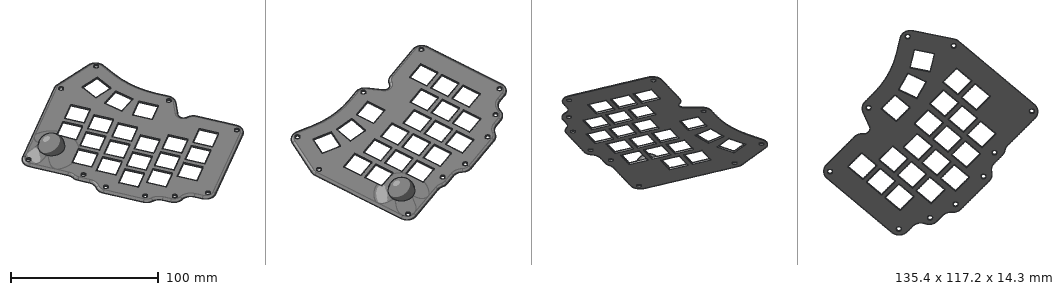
import cadquery as cq
import math

LENGTH = 135.4
DEPTH = 117.2
THICKNESS = 1.5
RIM_RADIUS = 2.0
CORNER_RADIUS = 7.3
DIP_RADIUS = 3.8
SHORTEST_STRAIGHT = 0.001
THUMB_ARC_RADIUS = 64.2
THUMB_TILT = math.radians(60)
RIM_WIDTH = math.sqrt(RIM_RADIUS**2 - (RIM_RADIUS - THICKNESS) ** 2)

FRONT_LEFT_Y = 8.7
FRONT_STEP_Y = 6.4
FRONT_RIGHT_STEP_Y = 5.8
FRONT_RIGHT_Y = 15.4
REAR_RIGHT_Y = 89.5
REAR_MIDDLE_Y = 101.8

FIRST_STEP_X = 34.7
SECOND_STEP_X = 50.5
THIRD_STEP_X = 91.1
FOURTH_STEP_X = 108.5

TILT_START_Y = 87.3
SHOULDER_X = 80.8
DIP_POINT = (90.3, 81.4)
DIP_END_X = 96.4

KEY_SIZE = 14.0
KEY_PITCH_Y = 17.0
FIRST_COLUMN_X = 22.9
LAST_COLUMN_X = 112.6
COLUMN_TOP_Y = [65.8, 61.3, 59.0, 52.7, 58.6, 70.7]
COLUMN_KEYS = [2, 3, 3, 3, 3, 3]
THUMB_KEYS = [(65.7, 83.1, 0), (45.8, 86.0, -15), (27.5, 93.7, -30)]

SCREW_DIAMETER = 3.4
SCREW_POINTS = [
    (5.0, 13.7), (5.0, 85.4), (21.0, 113.0), (77.8, 96.8), (130.4, 84.0),
    (130.4, 21.0), (109.9, 11.0), (90.8, 5.0), (62.8, 5.0), (44.8, 11.5),
]

DOME_X = 17.0
DOME_Y = 26.8
DOME_TOP = 14.3
DOME_RADIUS = 9.1
FOOT_RADIUS = 18.7


def step_corners(start_x, start_y, end_y):
    """Corners of an S-shaped step whose two equal arcs meet without a straight."""
    angle = math.acos(1 - abs(end_y - start_y) / (2 * CORNER_RADIUS))
    tangent = CORNER_RADIUS * math.tan(angle / 2)
    run = 2 * CORNER_RADIUS * math.sin(angle)
    return [
        (start_x + tangent, start_y, CORNER_RADIUS),
        (start_x + run - tangent, end_y, CORNER_RADIUS),
    ]


def rounded_outline(corners):
    """Closed outline through (x, y, radius) corners, each rounded by a tangent arc."""
    outline = None
    last = None
    count = len(corners)
    for i, (x, y, radius) in enumerate(corners):
        corner = cq.Vector(x, y)
        to_previous = (cq.Vector(*corners[i - 1][:2]) - corner).normalized()
        to_next = (cq.Vector(*corners[(i + 1) % count][:2]) - corner).normalized()
        half_angle = to_previous.getAngle(to_next) / 2
        tangent = radius / math.tan(half_angle)
        bisector = (to_previous + to_next).normalized()
        start = corner + to_previous * tangent
        middle = corner + bisector * (radius / math.sin(half_angle) - radius)
        end = corner + to_next * tangent
        if outline is None:
            outline = cq.Workplane("XY").moveTo(start.x, start.y)
        elif (start - last).Length > SHORTEST_STRAIGHT:
            outline = outline.lineTo(start.x, start.y)
        outline = outline.threePointArc((middle.x, middle.y), (end.x, end.y))
        last = end
    return outline.close()


def plate_corners():
    """Corners of the plate, counter-clockwise from the front left."""
    rise = CORNER_RADIUS * (math.sin(THUMB_TILT + math.pi / 4) * math.sqrt(2) - 1)
    rear_left_y = DEPTH + rise
    rear_left_x = (rear_left_y - TILT_START_Y) / math.tan(THUMB_TILT)
    thumb_arc_x = rear_left_x + (rear_left_y - REAR_MIDDLE_Y) * math.tan(THUMB_TILT)
    return [
        (0, FRONT_LEFT_Y, CORNER_RADIUS),
        *step_corners(FIRST_STEP_X, FRONT_LEFT_Y, FRONT_STEP_Y),
        *step_corners(SECOND_STEP_X, FRONT_STEP_Y, 0),
        *step_corners(THIRD_STEP_X, 0, FRONT_RIGHT_STEP_Y),
        *step_corners(FOURTH_STEP_X, FRONT_RIGHT_STEP_Y, FRONT_RIGHT_Y),
        (LENGTH, FRONT_RIGHT_Y, CORNER_RADIUS),
        (LENGTH, REAR_RIGHT_Y, CORNER_RADIUS),
        (DIP_END_X, REAR_RIGHT_Y, CORNER_RADIUS),
        (*DIP_POINT, DIP_RADIUS),
        (SHOULDER_X, REAR_MIDDLE_Y, CORNER_RADIUS),
        (thumb_arc_x, REAR_MIDDLE_Y, THUMB_ARC_RADIUS),
        (rear_left_x, rear_left_y, CORNER_RADIUS),
        (0, TILT_START_Y, CORNER_RADIUS),
    ]


def make_plate():
    """Plate with a rounded upper rim that is cut off at the underside."""
    overhang = RIM_RADIUS - RIM_WIDTH
    full_depth = 2 * RIM_RADIUS
    plate = (
        rounded_outline(plate_corners())
        .offset2D(overhang)
        .extrude(full_depth)
        .translate((0, 0, THICKNESS - full_depth))
        .faces(">Z").edges().fillet(RIM_RADIUS)
    )
    above_ground = (
        cq.Workplane("XY")
        .rect(2 * LENGTH, 2 * LENGTH)
        .extrude(THICKNESS)
        .translate((LENGTH / 2, DEPTH / 2, 0))
    )
    return plate.intersect(above_ground)


def arc_middle(start, end, radius):
    """Middle of the hollow arc of the given radius, bulging below its chord."""
    run = end[0] - start[0]
    rise = end[1] - start[1]
    chord = math.hypot(run, rise)
    sag = radius - math.sqrt(radius**2 - chord**2 / 4)
    return (
        (start[0] + end[0]) / 2 + sag * rise / chord,
        (start[1] + end[1]) / 2 - sag * run / chord,
    )


def foot_profile(reach, radius, base_z):
    """Half section of the foot, from its centre line out to the given reach."""
    toe = (-reach, THICKNESS)
    shoulder = (-DOME_RADIUS, base_z)
    return (
        cq.Workplane("XZ")
        .lineTo(-reach, 0)
        .lineTo(*toe)
        .threePointArc(arc_middle(toe, shoulder, radius), shoulder)
        .lineTo(0, base_z)
        .close()
    )


def make_dome():
    """Half ball standing on a foot that curves out into the plate."""
    base_z = DOME_TOP - DOME_RADIUS
    rise = base_z - THICKNESS
    spread = FOOT_RADIUS - DOME_RADIUS
    foot_arc = (spread**2 + rise**2) / (2 * rise)
    foot = foot_profile(FOOT_RADIUS, foot_arc, base_z).revolve(360, (0, 0), (0, 1))
    left_reach = DOME_X - RIM_WIDTH
    front_reach = DOME_Y - FRONT_LEFT_Y - RIM_WIDTH
    for reach, turn in [(left_reach, 0), (front_reach, 90)]:
        narrow = foot_profile(reach, foot_arc, base_z).extrude(FOOT_RADIUS, both=True)
        open_side = cq.Workplane("XY").box(
            FOOT_RADIUS, 2 * FOOT_RADIUS, base_z, centered=(False, True, False)
        )
        foot = foot.intersect(narrow.union(open_side).rotate((0, 0, 0), (0, 0, 1), turn))
    foot = foot.translate((DOME_X, DOME_Y, 0))
    ball = cq.Workplane("XY").sphere(DOME_RADIUS).translate((DOME_X, DOME_Y, base_z))
    column = cq.Workplane("XY").circle(DOME_RADIUS).extrude(DOME_TOP).translate((DOME_X, DOME_Y, 0))
    return foot.union(ball.intersect(column))


def key_opening(x, y, turn=0):
    """Square through opening for one key."""
    opening = cq.Workplane("XY").rect(KEY_SIZE, KEY_SIZE).extrude(DOME_TOP)
    return opening.rotate((0, 0, 0), (0, 0, 1), turn).translate((x, y, 0))


def cut_keys(body):
    column_pitch = (LAST_COLUMN_X - FIRST_COLUMN_X) / (len(COLUMN_KEYS) - 1)
    for column, (top_y, keys) in enumerate(zip(COLUMN_TOP_Y, COLUMN_KEYS)):
        for row in range(keys):
            x = FIRST_COLUMN_X + column * column_pitch
            body = body.cut(key_opening(x, top_y - row * KEY_PITCH_Y))
    for x, y, turn in THUMB_KEYS:
        body = body.cut(key_opening(x, y, turn))
    return body


def cut_screw_holes(body):
    holes = cq.Workplane("XY").pushPoints(SCREW_POINTS).circle(SCREW_DIAMETER / 2).extrude(DOME_TOP)
    return body.cut(holes)


result = cut_screw_holes(cut_keys(make_plate().union(make_dome())))